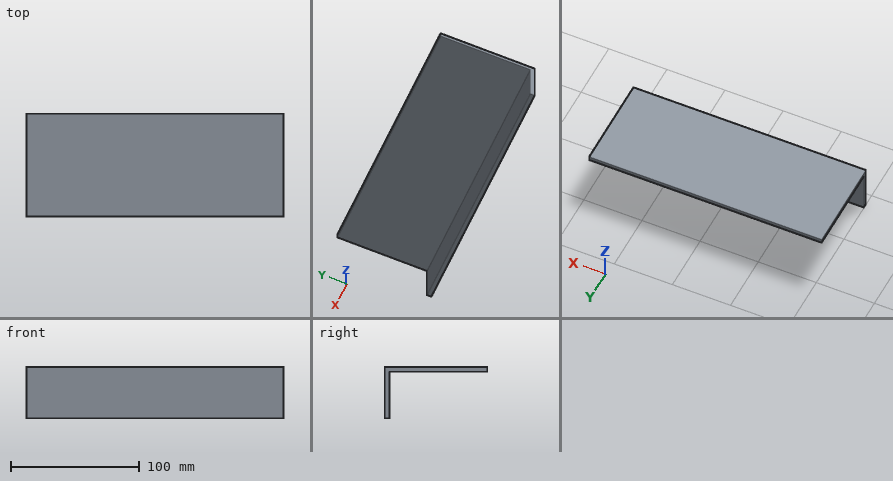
import cadquery as cq

length = 200.0
flange_width = 80.0
web_height = 40.0
thickness = 4.0
edge_radius = 0.1


def angle_profile():
    """L-shaped section in the YZ plane, with its outer corner at the front top edge."""
    return (
        cq.Workplane("YZ")
        .moveTo(0, 0)
        .lineTo(flange_width, 0)
        .lineTo(flange_width, -thickness)
        .lineTo(thickness, -thickness)
        .lineTo(thickness, -web_height)
        .lineTo(0, -web_height)
        .close()
    )


def round_all_edges(body):
    """Break every edge of the angle, including the inner corner, with a small radius."""
    return body.edges().fillet(edge_radius)


angle = angle_profile().extrude(length)
result = round_all_edges(angle)